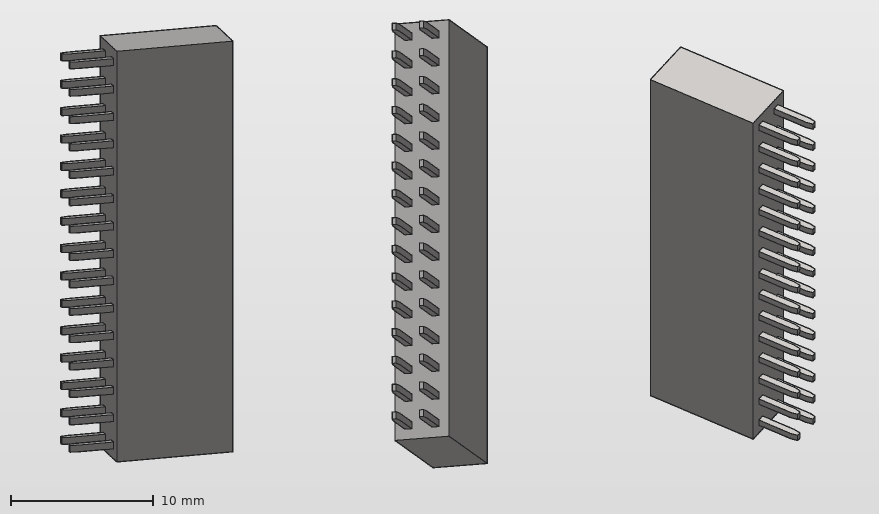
import cadquery as cq

pitch = 2.0
columns = 2
rows = 15
housing_depth = 8.5
overall_depth = 11.65
pin_width = 0.5
tip_width = 0.3
tip_length = 0.5

housing_width = columns * pitch
housing_height = rows * pitch
pin_length = overall_depth - housing_depth


def make_housing():
    """Plain block whose pin face lies on Y = 0."""
    return cq.Workplane("XY").box(
        housing_width, housing_depth, housing_height, centered=(True, False, True)
    )


def make_pin():
    """Square pin pointing toward -Y, with its two X sides tapered at the end."""
    half_pin = pin_width / 2
    half_tip = tip_width / 2
    taper_start = -(pin_length - tip_length)
    outline = [
        (-half_pin, 0),
        (-half_pin, taper_start),
        (-half_tip, -pin_length),
        (half_tip, -pin_length),
        (half_pin, taper_start),
        (half_pin, 0),
    ]
    return cq.Workplane("XY").polyline(outline).close().extrude(half_pin, both=True)


def add_pins(body):
    """Join the pin grid, centred on the pin face, to the housing."""
    pin = make_pin()
    for column in range(columns):
        x = (column - (columns - 1) / 2) * pitch
        for row in range(rows):
            z = (row - (rows - 1) / 2) * pitch
            body = body.union(pin.translate((x, 0, z)))
    return body


result = add_pins(make_housing())